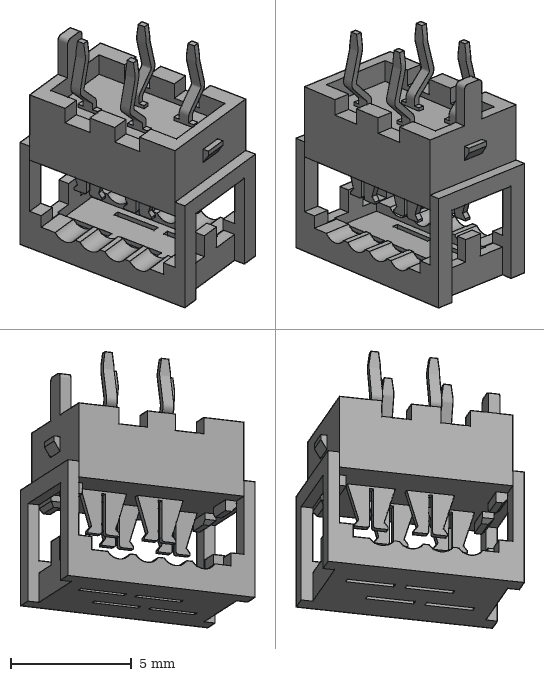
import cadquery as cq
import math

length = 8.45
width = 5.0
height = 10.19
wall = 0.5

pitch = 1.27
contact_count = 4
sheet = 0.26
row_offset = 0.75
pin_width = 0.49
tip_width = 0.33
tip_length = 0.59
bend_radius = 0.25
outward_angle = 45.0
inward_angle = 15.0
outward_length = 1.03
inward_length = 1.32
bend_start_z = 6.95
shoulder_half = 0.51
shoulder_height = 0.15

fork_bottom_z = 2.45
fork_root_half = 1.03
fork_neck_half = 0.55
fork_neck_z = 2.75
fork_foot_half = 0.71
fork_foot_z = 2.55
fork_slit = 0.16
fork_slit_top_z = 4.21
fork_mouth_radius = 0.1

header_length = length - 2 * wall
header_bottom_z = 4.31
header_top_z = 7.51
recess_length = header_length - 2 * wall
recess_width = 3.42
recess_floor_z = 6.56
notch_bottom_z = 6.81
key_width = 1.02
key_top_z = 9.35
key_radius = 0.22
latch_width = key_width
latch_reach = 0.26
latch_top_z = 6.57
latch_edge_z = 6.35
latch_bottom_z = 5.93
foot_bottom_z = 3.84
foot_chamfer = 0.19

frame_top_z = 4.99
window_width = recess_width
window_top_z = 4.21
corner_length = 0.59
corner_top_z = 1.8
sill_top_z = 1.24
end_wall_top_z = 1.27
tongue_width = 0.87
tongue_top_z = 2.29
groove_radius = 0.62
groove_depth = 0.26
pocket_width = 2.4
pocket_floor_z = 0.8

contact_places = [
    ((i - (contact_count - 1) / 2) * pitch, -1 if i % 2 == 0 else 1)
    for i in range(contact_count)
]


def block(x0, x1, y0, y1, z0, z1):
    """Box between two opposite corners."""
    return cq.Workplane("XY").box(x1 - x0, y1 - y0, z1 - z0, centered=False).translate((x0, y0, z0))


def middle_block(size_x, size_y, z0, z1):
    """Box centred on the Z axis."""
    return block(-size_x / 2, size_x / 2, -size_y / 2, size_y / 2, z0, z1)


def both_ends(end_part):
    """The part at the -X end together with its mirror image at the +X end."""
    return end_part.union(end_part.mirror("YZ"))


def pin_path():
    """Middle line of a +Y row pin: up, outward, leaning back inward, then upright to the top."""
    out = math.radians(outward_angle)
    lean = math.radians(inward_angle)
    y = row_offset
    z = bend_start_z
    path = cq.Workplane("YZ").moveTo(y, recess_floor_z).lineTo(y, z)

    y += bend_radius * (1 - math.cos(out))
    z += bend_radius * math.sin(out)
    path = path.tangentArcPoint((y, z), relative=False)
    y += outward_length * math.sin(out)
    z += outward_length * math.cos(out)
    path = path.lineTo(y, z)

    y += bend_radius * (math.cos(lean) - math.cos(out))
    z += bend_radius * (math.sin(lean) + math.sin(out))
    path = path.tangentArcPoint((y, z), relative=False)
    y -= inward_length * math.sin(lean)
    z += inward_length * math.cos(lean)
    path = path.lineTo(y, z)

    y -= bend_radius * (1 - math.cos(lean))
    z += bend_radius * math.sin(lean)
    path = path.tangentArcPoint((y, z), relative=False)
    return path.lineTo(y, height)


def make_pin():
    """Bent solder pin with a tip tapered in X."""
    section = cq.Workplane("XY", origin=(0, row_offset, recess_floor_z)).rect(pin_width, sheet)
    pin = section.sweep(pin_path())
    taper_z = height - tip_length
    outline = (
        cq.Workplane("XZ")
        .moveTo(-pin_width / 2, recess_floor_z)
        .lineTo(-pin_width / 2, taper_z)
        .lineTo(-tip_width / 2, height)
        .lineTo(tip_width / 2, height)
        .lineTo(pin_width / 2, taper_z)
        .lineTo(pin_width / 2, recess_floor_z)
        .close()
        .extrude(width / 2, both=True)
    )
    return pin.intersect(outline)


def make_fork():
    """Flat two-legged fork hanging from the header."""
    left_side = [
        (-fork_root_half, header_bottom_z),
        (-fork_neck_half, fork_neck_z),
        (-fork_foot_half, fork_foot_z),
        (-fork_foot_half, fork_bottom_z),
    ]
    right_side = [(-x, z) for x, z in reversed(left_side)]
    fork = (
        cq.Workplane("XZ")
        .polyline(left_side + right_side)
        .close()
        .extrude(sheet / 2, both=True)
        .cut(middle_block(fork_slit, width, fork_bottom_z, fork_slit_top_z))
    )
    mouth = cq.selectors.BoxSelector(
        (-fork_slit, -sheet, fork_bottom_z - fork_slit),
        (fork_slit, sheet, fork_bottom_z + fork_slit / 2),
    )
    fork = fork.edges("|Y").edges(mouth).fillet(fork_mouth_radius)
    return fork.translate((0, row_offset, 0))


def make_contact():
    """Contact of the +Y row: pin and fork joined by a blade that passes through the header."""
    blade = middle_block(2 * shoulder_half, sheet, header_bottom_z, recess_floor_z + shoulder_height)
    blade = blade.translate((0, row_offset, 0))
    return blade.union(make_pin()).union(make_fork())


def make_key():
    """Round-cornered post standing on the -X wall."""
    key = block(
        -header_length / 2, -recess_length / 2, -key_width / 2, key_width / 2, header_top_z, key_top_z
    )
    return key.edges("|X and >Z").fillet(key_radius)


def make_latch():
    """Wedge on the -X face, sloped underneath."""
    face_x = -header_length / 2
    return (
        cq.Workplane("XZ")
        .moveTo(face_x, latch_top_z)
        .lineTo(face_x - latch_reach, latch_top_z)
        .lineTo(face_x - latch_reach, latch_edge_z)
        .lineTo(face_x, latch_bottom_z)
        .close()
        .extrude(latch_width / 2, both=True)
    )


def make_foot():
    """Foot under the -X, +Y corner, chamfered where it enters the frame."""
    foot = block(
        -header_length / 2, -recess_length / 2, tongue_width / 2, recess_width / 2,
        foot_bottom_z, header_bottom_z,
    )
    return foot.faces("<Z").edges("<X or <Y").chamfer(foot_chamfer)


def make_header():
    """Header block with its four contacts moulded in as one body."""
    body = middle_block(header_length, width, header_bottom_z, header_top_z)
    body = body.cut(middle_block(recess_length, recess_width, recess_floor_z, header_top_z))
    for side in (-1, 1):
        notch = middle_block(pitch, width, notch_bottom_z, header_top_z)
        body = body.cut(notch.translate((side * pitch, 0, 0)))
    foot = make_foot()
    feet = both_ends(foot.union(foot.mirror("XZ")))
    body = body.union(make_key()).union(both_ends(make_latch())).union(feet)
    contact = make_contact()
    for x, row in contact_places:
        placed = contact if row > 0 else contact.mirror("XZ")
        body = body.union(placed.translate((x, 0, 0)))
    return body


def make_end_plate():
    """Upright -X end plate with a window open at the bottom."""
    plate = block(-length / 2, -header_length / 2, -width / 2, width / 2, 0, frame_top_z)
    return plate.cut(middle_block(length, window_width, 0, window_top_z))


def make_end_wall():
    """Low wall and tongue at the -X end, with the two taller corner blocks beside it."""
    outer_x = -header_length / 2
    inner_x = outer_x + corner_length
    end_wall = block(outer_x, inner_x, -window_width / 2, window_width / 2, 0, end_wall_top_z)
    tongue = block(outer_x, outer_x + wall, -tongue_width / 2, tongue_width / 2, 0, tongue_top_z)
    corners = block(outer_x, inner_x, -width / 2, width / 2, 0, corner_top_z)
    corners = corners.cut(middle_block(length, window_width, 0, corner_top_z))
    return end_wall.union(tongue).union(corners)


def make_frame():
    """Cover frame: grooved base with a pocket and fork slots, between two end plates."""
    base = middle_block(header_length, width, 0, sill_top_z)
    groove = (
        cq.Workplane("XZ", origin=(0, 0, sill_top_z - groove_depth + groove_radius))
        .circle(groove_radius)
        .extrude(width / 2, both=True)
    )
    fork_slot = middle_block(2 * fork_root_half, sheet, 0, sill_top_z)
    for x, row in contact_places:
        base = base.cut(groove.translate((x, 0, 0)))
        base = base.cut(fork_slot.translate((x, row * row_offset, 0)))
    pocket = middle_block(recess_length, pocket_width, pocket_floor_z, tongue_top_z)
    return base.union(both_ends(make_end_wall())).cut(pocket).union(both_ends(make_end_plate()))


header = make_header()
frame = make_frame()
result = cq.Compound.makeCompound([header.val(), frame.val()])